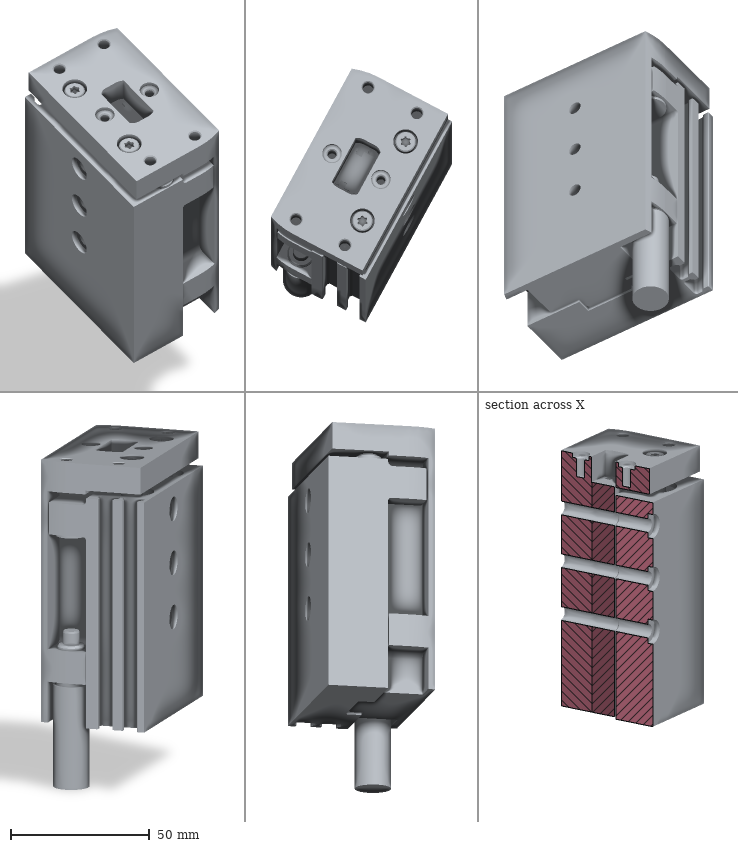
import cadquery as cq
import math


WIDTH = 66.0
DEPTH = 40.0
HEIGHT = 120.85
FRONT_Y = -DEPTH / 2
REAR_Y = DEPTH / 2

HOUSING_HEIGHT = 85.0
HOUSING_REAR_Y = 2.1
LUG_REAR_Y = 16.5
LUG_BOTTOM_Z = 70.6
LUG_TOP_Z = 82.4
LUG_CLEARANCE = 1.0
LUG_TOP_FILLET = 1.8
LUG_BOTTOM_FILLET = 1.2
BUMPER_DIAMETER = 11.3
BUMPER_HEIGHT = 1.1
SLOT_OPENING = 5.6
SLOT_CENTRES_Y = (-14.45, -5.1)
SLOT_EDGE_CHAMFER = 0.25
SLOT_LIP = 2.2
SLOT_FLARE = 1.2
SLOT_FLOOR_TAPER = 0.7
SLOT_WALL = 2.3
RIB_RECESS = 0.5
PORT_SCREW_X = 27.9
PORT_SCREW_Y = -4.2
PORT_HEAD_DIAMETER = 9.5
PORT_HEAD_HEIGHT = 1.2
PORT_CAP_DIAMETER = 6.5
PORT_CAP_HEIGHT = 0.9

MOUNT_HOLE_DIAMETER = 5.0
MOUNT_BORE_DIAMETER = 9.0
MOUNT_BORE_DEPTH = 2.1
MOUNT_HOLE_TOP_Z = 75.9
MOUNT_HOLE_PITCH = 20.0
MOUNT_HOLES_Z = [MOUNT_HOLE_TOP_Z - i * MOUNT_HOLE_PITCH for i in range(3)]

SLIDE_WIDTH = 65.3
SLIDE_REAR_WIDTH = 61.7
SLIDE_TOP_Z = 97.65
SLIDE_BOTTOM_Z = 0.8
PLATE_BOTTOM_Z = 87.8
PLATE_FRONT_Y = -18.5
BODY_FRONT_Y = 2.5
ARC_START_Y = 10.0
LEFT_POCKET_FLOOR_X = -18.0
RIGHT_POCKET_FLOOR_X = 22.5
POCKET_REAR_Y = REAR_Y - 2.75
POCKET_TOP_Z = 86.4
POCKET_FILLET = 2.3
STOP_BOTTOM_Z = 16.0
STOP_TOP_Z = 27.8

WINDOW_HALF_WIDTH = 10.0
WINDOW_REAR_Y = 6.7
WINDOW_FRONT_Y = -3.7
WINDOW_REAR_HALF = 9.1
WINDOW_FRONT_HALF = 8.7
WINDOW_CORNER_LENGTH = 3.0
CHEEK_GROOVE_Y = 0.6
CHEEK_GROOVE_WIDTH = 0.8
CHEEK_GROOVE_DEPTH = 0.3

RAIL_HALF_WIDTH = 7.6
RAIL_REAR_Y = 6.4
RAIL_FRONT_Y = -3.4
RAIL_TOP_Z = 88.1
RAIL_NOTCH_FRONT_Y = 2.4
RAIL_NOTCH_REAR_Y = 4.8
RAIL_NOTCH_DEPTH = 2.1
CHANNEL_CLEARANCE = 0.3

HOLE_ROWS_Y = (11.5, -8.5)
CORNER_HOLE_X = 27.5
CORNER_CORE_DIAMETER = 4.13
CORNER_MOUTH_DIAMETER = 4.92
CENTRE_CORE_DIAMETER = 3.24
CENTRE_MOUTH_DIAMETER = 4.13
CENTRE_BORE_DIAMETER = 7.0
CENTRE_BORE_DEPTH = 1.6
THREAD_DEPTH = 7.0

ROD_X = 16.5
ROD_Y = -9.8
ROD_DIAMETER = 8.0
ROD_BOTTOM_Z = 45.0
ROD_NECK_DIAMETER = 5.0
ROD_HEAD_DIAMETER = 7.3
ROD_HEAD_HEIGHT = 3.5
ROD_HEAD_TIP_DIAMETER = 6.5
ROD_HEAD_CHAMFER_HEIGHT = 0.4
ROD_HEAD_SUNK = 0.7
ROD_HEAD_TOP_Z = SLIDE_TOP_Z - ROD_HEAD_SUNK
ROD_BORE_DIAMETER = 8.92
CYLINDER_DIAMETER = 16.0
CYLINDER_RECESS = 2.0
STAR_DIAMETER = 3.9
STAR_CORE_DIAMETER = 3.0
STAR_LOBE_DIAMETER = 0.9
STAR_DEPTH = 2.0
STAR_LOBES = 6

ABSORBER_X = -26.35
ABSORBER_Y = ARC_START_Y
ABSORBER_BOTTOM_Z = SLIDE_TOP_Z - HEIGHT
ABSORBER_DIAMETER = 13.2
COLLAR_DIAMETER = 11.7
COLLAR_BOTTOM_Z = 14.6
THREAD_DIAMETER = 10.0
THREAD_TIP_DIAMETER = 8.92
THREAD_TOP_Z = 29.4
THREAD_CHAMFER_HEIGHT = 0.8
PIN_DIAMETER = 6.0
PIN_TIP_DIAMETER = 5.6
PIN_TOP_Z = 34.4
PIN_CHAMFER_HEIGHT = 0.7


def box(x0, x1, y0, y1, z0, z1):
    """Box between two opposite corners."""
    return cq.Workplane("XY").box(x1 - x0, y1 - y0, z1 - z0, centered=False).translate((x0, y0, z0))


def disc(x, y, diameter, z0, z1):
    """Upright cylinder between two heights."""
    return cq.Workplane("XY", origin=(x, y, z0)).circle(diameter / 2).extrude(z1 - z0)


def cone(x, y, lower_diameter, upper_diameter, z0, z1):
    """Upright truncated cone between two heights."""
    solid = cq.Solid.makeCone(lower_diameter / 2, upper_diameter / 2, z1 - z0, pnt=cq.Vector(x, y, z0))
    return cq.Workplane(obj=solid)


SIDE_INSET = (SLIDE_WIDTH - SLIDE_REAR_WIDTH) / 2
SIDE_ARC_RUN = REAR_Y - ARC_START_Y
SIDE_ARC_RADIUS = (SIDE_ARC_RUN**2 + SIDE_INSET**2) / (2 * SIDE_INSET)


def arc_inset(y):
    """How far the curved side has come in from the straight side at this Y."""
    return SIDE_ARC_RADIUS - math.sqrt(SIDE_ARC_RADIUS**2 - (y - ARC_START_Y) ** 2)


def arched_outline(width, front_y, rear_y):
    """Rectangle whose sides curve inwards, tangentially, behind ARC_START_Y."""
    half = width / 2
    rear_half = half - arc_inset(rear_y)
    middle_y = (ARC_START_Y + rear_y) / 2
    middle_half = half - arc_inset(middle_y)
    return (
        cq.Workplane("XY")
        .moveTo(-half, front_y)
        .lineTo(half, front_y)
        .lineTo(half, ARC_START_Y)
        .threePointArc((middle_half, middle_y), (rear_half, rear_y))
        .lineTo(-rear_half, rear_y)
        .threePointArc((-middle_half, middle_y), (-half, ARC_START_Y))
        .close()
    )


def arched_block(width, front_y, rear_y, z0, z1):
    """Block with the arched outline between two heights."""
    return arched_outline(width, front_y, rear_y).extrude(z1 - z0).translate((0, 0, z0))


def corner_arc(end_half, end_y, side_y):
    """Middle and end point of an arc from (end_half, end_y) that meets the side tangentially at side_y."""
    inset = WINDOW_HALF_WIDTH - end_half
    run = end_y - side_y
    radius = (run**2 + inset**2) / (2 * inset)
    middle_half = WINDOW_HALF_WIDTH - radius + math.sqrt(radius**2 - (run / 2) ** 2)
    return (middle_half, (end_y + side_y) / 2), (WINDOW_HALF_WIDTH, side_y)


def window_block(front_y, rear_y, z0, z1):
    """Block with a flat front and rear, whose corners curve tangentially out to straight sides."""
    half = (
        cq.Workplane("XY", origin=(0, 0, z0))
        .moveTo(0, rear_y)
        .lineTo(WINDOW_REAR_HALF, rear_y)
        .threePointArc(*corner_arc(WINDOW_REAR_HALF, rear_y, rear_y - WINDOW_CORNER_LENGTH))
        .lineTo(WINDOW_HALF_WIDTH, front_y + WINDOW_CORNER_LENGTH)
        .tangentArcPoint((WINDOW_FRONT_HALF, front_y), relative=False)
        .lineTo(0, front_y)
        .close()
        .extrude(z1 - z0)
    )
    return half.union(half.mirror("YZ"))


def rail_block():
    """Guide rail without holes: a bar with a notch along each side."""
    bar = box(-RAIL_HALF_WIDTH, RAIL_HALF_WIDTH, RAIL_FRONT_Y, RAIL_REAR_Y, SLIDE_BOTTOM_Z, RAIL_TOP_Z)
    notch = box(
        RAIL_HALF_WIDTH - RAIL_NOTCH_DEPTH,
        RAIL_HALF_WIDTH,
        RAIL_NOTCH_FRONT_Y,
        RAIL_NOTCH_REAR_Y,
        SLIDE_BOTTOM_Z,
        RAIL_TOP_Z,
    )
    return bar.cut(notch).cut(notch.mirror("YZ"))


def mounting_holes():
    """Cutter for the three through holes on the centre plane."""
    points = [(0, z) for z in MOUNT_HOLES_Z]
    plane = cq.Workplane("XZ", origin=(0, REAR_Y, 0))
    return plane.pushPoints(points).circle(MOUNT_HOLE_DIAMETER / 2).extrude(DEPTH)


def mounting_bores():
    """Cutter for the counterbores of the mounting holes in the front face."""
    points = [(0, z) for z in MOUNT_HOLES_Z]
    plane = cq.Workplane("XZ", origin=(0, FRONT_Y + MOUNT_BORE_DEPTH, 0))
    return plane.pushPoints(points).circle(MOUNT_BORE_DIAMETER / 2).extrude(MOUNT_BORE_DEPTH)


def sensor_slot(centre_y):
    """Cutter for one sensor slot in the -X side: chamfered narrow mouth, 45 degree flare, tapered floor."""
    mouth = SLOT_OPENING / 2
    wide = mouth + SLOT_FLARE
    lip_x = -WIDTH / 2 + SLOT_LIP
    flare_x = lip_x + SLOT_FLARE
    wall_x = flare_x + SLOT_WALL
    floor_x = wall_x + SLOT_FLOOR_TAPER
    upper = [
        (-WIDTH / 2, mouth + SLOT_EDGE_CHAMFER),
        (-WIDTH / 2 + SLOT_EDGE_CHAMFER, mouth),
        (lip_x, mouth),
        (flare_x, wide),
        (wall_x, wide),
        (floor_x, wide - SLOT_FLOOR_TAPER),
    ]
    lower = [(x, -y) for x, y in reversed(upper)]
    outline = cq.Workplane("XY", origin=(0, centre_y, 0)).polyline(upper + lower).close()
    return outline.extrude(HOUSING_HEIGHT)


def housing_lugs():
    """Stop lugs standing out behind the housing on both sides, with concave fillets at their roots."""
    lugs = arched_block(WIDTH, HOUSING_REAR_Y, LUG_REAR_Y, LUG_BOTTOM_Z, LUG_TOP_Z)
    left_x = LEFT_POCKET_FLOOR_X - LUG_CLEARANCE
    right_x = RIGHT_POCKET_FLOOR_X + LUG_CLEARANCE
    gap = box(left_x, right_x, HOUSING_REAR_Y, LUG_REAR_Y, 0, HOUSING_HEIGHT)
    for z, direction, radius in ((LUG_TOP_Z, 1, LUG_TOP_FILLET), (LUG_BOTTOM_Z, -1, LUG_BOTTOM_FILLET)):
        root = (
            cq.Workplane("YZ", origin=(-WIDTH / 2, 0, 0))
            .moveTo(HOUSING_REAR_Y, z)
            .lineTo(HOUSING_REAR_Y + radius, z)
            .radiusArc((HOUSING_REAR_Y, z + direction * radius), direction * radius)
            .close()
            .extrude(WIDTH)
        )
        lugs = lugs.union(root)
    return lugs.cut(gap)


def make_housing():
    body = box(-WIDTH / 2, WIDTH / 2, FRONT_Y, HOUSING_REAR_Y, 0, HOUSING_HEIGHT)
    channel = box(
        -WINDOW_HALF_WIDTH - CHANNEL_CLEARANCE,
        WINDOW_HALF_WIDTH + CHANNEL_CLEARANCE,
        RAIL_FRONT_Y - CHANNEL_CLEARANCE,
        HOUSING_REAR_Y,
        0,
        HOUSING_HEIGHT,
    )
    body = body.cut(channel)
    for centre_y in SLOT_CENTRES_Y:
        body = body.cut(sensor_slot(centre_y))
    recess_front_y, recess_rear_y = SLOT_CENTRES_Y
    recess_x = -WIDTH / 2 + RIB_RECESS
    body = body.cut(box(-WIDTH / 2, recess_x, recess_front_y, recess_rear_y, 0, HOUSING_HEIGHT))
    for x in (-ROD_X, ROD_X):
        body = body.cut(disc(x, ROD_Y, CYLINDER_DIAMETER, HOUSING_HEIGHT - CYLINDER_RECESS, HOUSING_HEIGHT))
        body = body.cut(disc(x, ROD_Y, ROD_DIAMETER, ROD_BOTTOM_Z, HOUSING_HEIGHT))
    body = body.cut(mounting_holes()).cut(mounting_bores())
    bumper = disc(ABSORBER_X, ABSORBER_Y, BUMPER_DIAMETER, LUG_BOTTOM_Z - BUMPER_HEIGHT, LUG_BOTTOM_Z)
    port_head_top = HOUSING_HEIGHT + PORT_HEAD_HEIGHT
    port_head = disc(PORT_SCREW_X, PORT_SCREW_Y, PORT_HEAD_DIAMETER, HOUSING_HEIGHT, port_head_top)
    port_cap = disc(
        PORT_SCREW_X, PORT_SCREW_Y, PORT_CAP_DIAMETER, port_head_top, port_head_top + PORT_CAP_HEIGHT
    )
    return body.union(housing_lugs()).union(bumper).union(port_head).union(port_cap)


def side_pockets(floor_x, outside_x, inner_edge):
    """Cutters above and below the stop lug of one side, with filleted floor corners."""
    left_x = min(floor_x, outside_x)
    right_x = max(floor_x, outside_x)
    above = box(left_x, right_x, BODY_FRONT_Y, POCKET_REAR_Y, STOP_TOP_Z, POCKET_TOP_Z)
    above = above.edges(f"|Y and {inner_edge}").fillet(POCKET_FILLET)
    below = box(left_x, right_x, BODY_FRONT_Y, POCKET_REAR_Y, SLIDE_BOTTOM_Z, STOP_BOTTOM_Z)
    below = below.edges(f"|Y and {inner_edge} and >Z").fillet(POCKET_FILLET)
    return above.union(below)


def threaded_hole(x, y, core_diameter, mouth_diameter, top_z):
    """Cutter for a blind threaded hole with a 45 degree countersunk mouth."""
    countersink = (mouth_diameter - core_diameter) / 2
    core = disc(x, y, core_diameter, top_z - THREAD_DEPTH, top_z)
    return core.union(cone(x, y, core_diameter, mouth_diameter, top_z - countersink, top_z))


def make_slide():
    plate = arched_block(SLIDE_WIDTH, PLATE_FRONT_Y, REAR_Y, PLATE_BOTTOM_Z, SLIDE_TOP_Z)
    body = arched_block(SLIDE_WIDTH, BODY_FRONT_Y, REAR_Y, SLIDE_BOTTOM_Z, PLATE_BOTTOM_Z)
    cheeks = window_block(RAIL_FRONT_Y, WINDOW_REAR_Y, SLIDE_BOTTOM_Z, PLATE_BOTTOM_Z)
    body = body.cut(side_pockets(LEFT_POCKET_FLOOR_X, -WIDTH / 2, ">X"))
    body = body.cut(side_pockets(RIGHT_POCKET_FLOOR_X, WIDTH / 2, "<X"))
    slide = body.union(cheeks)
    groove = box(
        -WINDOW_HALF_WIDTH,
        WINDOW_HALF_WIDTH,
        CHEEK_GROOVE_Y - CHEEK_GROOVE_WIDTH / 2,
        CHEEK_GROOVE_Y + CHEEK_GROOVE_WIDTH / 2,
        PLATE_BOTTOM_Z - CHEEK_GROOVE_DEPTH,
        PLATE_BOTTOM_Z,
    )
    slide = slide.cut(groove).cut(rail_block())
    window = window_block(WINDOW_FRONT_Y, WINDOW_REAR_Y, PLATE_BOTTOM_Z, SLIDE_TOP_Z)
    slide = slide.union(plate.cut(window))
    for y in HOLE_ROWS_Y:
        for x in (-CORNER_HOLE_X, CORNER_HOLE_X):
            slide = slide.cut(threaded_hole(x, y, CORNER_CORE_DIAMETER, CORNER_MOUTH_DIAMETER, SLIDE_TOP_Z))
        bore_z = SLIDE_TOP_Z - CENTRE_BORE_DEPTH
        slide = slide.cut(disc(0, y, CENTRE_BORE_DIAMETER, bore_z, SLIDE_TOP_Z))
        slide = slide.cut(threaded_hole(0, y, CENTRE_CORE_DIAMETER, CENTRE_MOUTH_DIAMETER, bore_z))
    for x in (-ROD_X, ROD_X):
        slide = slide.cut(disc(x, ROD_Y, ROD_NECK_DIAMETER, PLATE_BOTTOM_Z, SLIDE_TOP_Z))
        slide = slide.cut(disc(x, ROD_Y, ROD_BORE_DIAMETER, ROD_HEAD_TOP_Z - ROD_HEAD_HEIGHT, SLIDE_TOP_Z))
    slide = slide.cut(disc(ABSORBER_X, ABSORBER_Y, THREAD_DIAMETER, STOP_BOTTOM_Z, STOP_TOP_Z))
    return slide.cut(mounting_holes())


def make_guide_rail():
    return rail_block().cut(mounting_holes())


def star_socket(x, y):
    """Cutter for the six-lobed drive socket in the head of a piston rod."""
    z0 = ROD_HEAD_TOP_Z - STAR_DEPTH
    socket = disc(x, y, STAR_CORE_DIAMETER, z0, ROD_HEAD_TOP_Z)
    lobe_radius = (STAR_DIAMETER - STAR_LOBE_DIAMETER) / 2
    for i in range(STAR_LOBES):
        angle = math.pi / 2 + i * 2 * math.pi / STAR_LOBES
        lobe_x = x + lobe_radius * math.cos(angle)
        lobe_y = y + lobe_radius * math.sin(angle)
        socket = socket.union(disc(lobe_x, lobe_y, STAR_LOBE_DIAMETER, z0, ROD_HEAD_TOP_Z))
    return socket


def make_piston_rod(x):
    head_bottom = ROD_HEAD_TOP_Z - ROD_HEAD_HEIGHT
    shaft = disc(x, ROD_Y, ROD_DIAMETER, ROD_BOTTOM_Z, PLATE_BOTTOM_Z)
    neck = disc(x, ROD_Y, ROD_NECK_DIAMETER, PLATE_BOTTOM_Z, head_bottom)
    head_shoulder = ROD_HEAD_TOP_Z - ROD_HEAD_CHAMFER_HEIGHT
    head = disc(x, ROD_Y, ROD_HEAD_DIAMETER, head_bottom, head_shoulder)
    tip = cone(x, ROD_Y, ROD_HEAD_DIAMETER, ROD_HEAD_TIP_DIAMETER, head_shoulder, ROD_HEAD_TOP_Z)
    return shaft.union(neck).union(head).union(tip).cut(star_socket(x, ROD_Y))


def make_shock_absorber():
    thread_shoulder = THREAD_TOP_Z - THREAD_CHAMFER_HEIGHT
    pin_shoulder = PIN_TOP_Z - PIN_CHAMFER_HEIGHT
    half_section = [
        (0, ABSORBER_BOTTOM_Z),
        (ABSORBER_DIAMETER / 2, ABSORBER_BOTTOM_Z),
        (ABSORBER_DIAMETER / 2, COLLAR_BOTTOM_Z),
        (COLLAR_DIAMETER / 2, COLLAR_BOTTOM_Z),
        (COLLAR_DIAMETER / 2, STOP_BOTTOM_Z),
        (THREAD_DIAMETER / 2, STOP_BOTTOM_Z),
        (THREAD_DIAMETER / 2, thread_shoulder),
        (THREAD_TIP_DIAMETER / 2, THREAD_TOP_Z),
        (PIN_DIAMETER / 2, THREAD_TOP_Z),
        (PIN_DIAMETER / 2, pin_shoulder),
        (PIN_TIP_DIAMETER / 2, PIN_TOP_Z),
        (0, PIN_TOP_Z),
    ]
    turned = cq.Workplane("XZ").polyline(half_section).close().revolve(360, (0, 0, 0), (0, 1, 0))
    return turned.translate((ABSORBER_X, ABSORBER_Y, 0))


housing = make_housing()
slide = make_slide()
guide_rail = make_guide_rail()
piston_rods = [make_piston_rod(x) for x in (-ROD_X, ROD_X)]
shock_absorber = make_shock_absorber()

result = cq.Compound.makeCompound(
    [
        housing.val(),
        slide.val(),
        guide_rail.val(),
        *[rod.val() for rod in piston_rods],
        shock_absorber.val(),
    ]
)